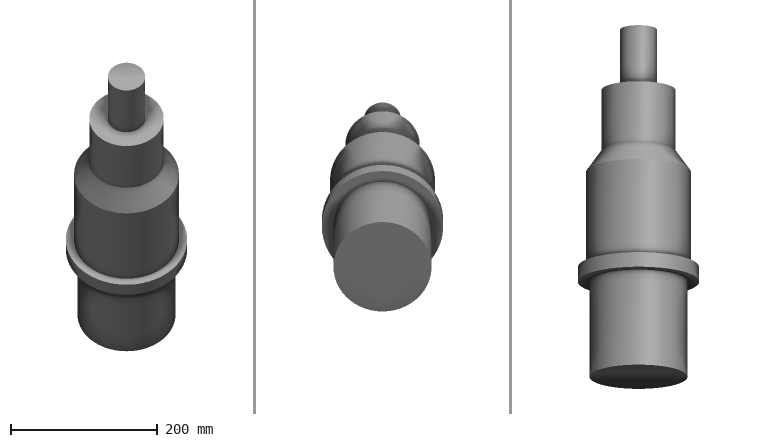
import cadquery as cq

base_diameter = 133.5
flange_diameter = 165.0
body_diameter = 143.0
neck_diameter = 101.5
pin_diameter = neck_diameter / 2

total_height = 487.5
base_height = 133.5
flange_height = 20.5
body_height = 133.5
taper_height = 29.0
pin_height = 85.5
neck_height = total_height - base_height - flange_height - body_height - taper_height - pin_height


def add_cylinder(shaft, diameter, height):
    """Stack a coaxial cylinder on the top face of the shaft."""
    return shaft.faces(">Z").workplane().circle(diameter / 2).extrude(height)


shaft = cq.Workplane("XY").circle(base_diameter / 2).extrude(base_height)
shaft = add_cylinder(shaft, flange_diameter, flange_height)

shaft = add_cylinder(shaft, body_diameter, body_height + taper_height)
taper_width = (body_diameter - neck_diameter) / 2
shaft = shaft.faces(">Z").edges().chamfer(taper_height, taper_width)

shaft = add_cylinder(shaft, neck_diameter, neck_height)
shaft = add_cylinder(shaft, pin_diameter, pin_height)

result = shaft